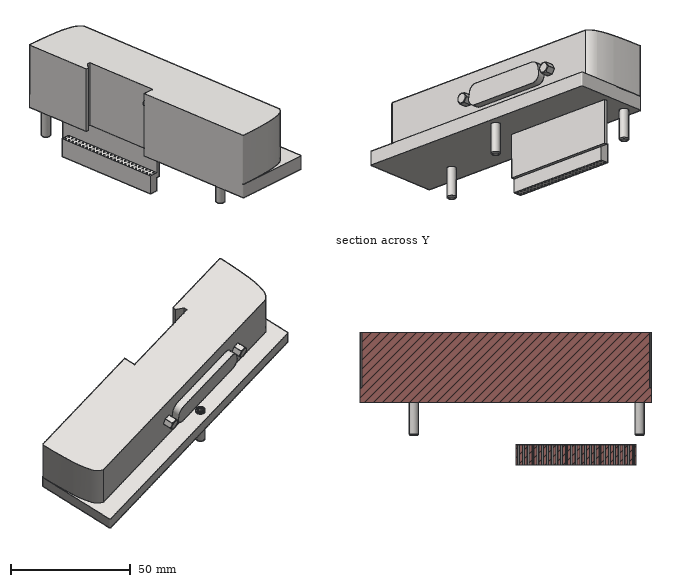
import cadquery as cq
import math

overall_height = 55.3

plate_length = 121.6
plate_width = 35.8
plate_height = 6.3
corner_radius = 0.5

housing_top = 29.3
housing_depth = 28.1
housing_end_gap = 0.1
end_arc_points = [(0.7, 15.9), (2.3, 24.2), (5.4, housing_depth)]

notch_left = 29.7
notch_right = 65.3
notch_depth = 5.2
lip_reach = 2.8
lip_tip_height = 1.5
lip_root_height = 3.8

latch_diameter = 2.4
latch_length = 2.2
latch_y = 2.9
latch_z = 23.1

plug_x = 49.2
plug_z = 17.1
shell_height = 9.6
shell_half_width_bottom = 20.8
shell_taper = math.radians(10)
shell_radius = 3.5
shell_back = 31.4
nut_spacing = 46.9
nut_across_flats = 4.5
nut_back = 32.1
nut_chamfer = 0.5

screw_diameter = 4.0
screw_tip = -13.6
screw_chamfer = 0.5
socket_across_flats = 2.0
socket_depth = 2.0
screw_positions = [(5.0, 5.1), (99.1, 10.2), (54.0, 31.1)]

board_left = 3.0
board_right = 56.5
board_front = 17.4
board_thickness = 1.5
board_bottom = -19.8
strip_left = 6.5
strip_thickness = 4.0
strip_top = -17.5
strip_bottom = housing_top - overall_height
contact_pitch = 2.0
contact_columns = 25
contact_rows = 2
contact_diameter = 0.6


def hex_across_corners(across_flats):
    return across_flats / math.cos(math.pi / 6)


def make_box(x_min, x_max, y_min, y_max, z_min, z_max):
    size = (x_max - x_min, y_max - y_min, z_max - z_min)
    return cq.Workplane("XY").box(*size, centered=False).translate((x_min, y_min, z_min))


def make_plate():
    plate = make_box(0, plate_length, 0, plate_width, 0, plate_height)
    return plate.edges("|Z").fillet(corner_radius)


def make_housing():
    middle = plate_length / 2
    outline = (
        cq.Workplane("XY")
        .moveTo(middle, 0)
        .lineTo(housing_end_gap + corner_radius, 0)
        .tangentArcPoint((housing_end_gap, corner_radius), relative=False)
    )
    for point in end_arc_points:
        outline = outline.tangentArcPoint(point, relative=False)
    half = outline.lineTo(middle, housing_depth).close().extrude(housing_top)
    return half.union(half.mirror("YZ", (middle, 0, 0)))


def make_notch():
    lip_tip = notch_left + lip_reach
    outline = [
        (lip_tip, 0),
        (lip_tip, lip_tip_height),
        (notch_left, lip_root_height),
        (notch_left, notch_depth),
        (notch_right, notch_depth),
        (notch_right, 0),
    ]
    return cq.Workplane("XY").polyline(outline).close().extrude(housing_top)


def make_latch_pin():
    pin = cq.Workplane("YZ").circle(latch_diameter / 2).extrude(-latch_length)
    return pin.translate((notch_right, latch_y, latch_z))


def make_plug_shell():
    half_width_top = shell_half_width_bottom - shell_height * math.tan(shell_taper)
    outline = [
        (-shell_half_width_bottom, -shell_height / 2),
        (shell_half_width_bottom, -shell_height / 2),
        (half_width_top, shell_height / 2),
        (-half_width_top, shell_height / 2),
    ]
    shell = cq.Workplane("XZ").polyline(outline).close().extrude(housing_depth - shell_back)
    shell = shell.edges("|Y").fillet(shell_radius)
    return shell.translate((plug_x, housing_depth, plug_z))


def make_jack_nut(x):
    across_corners = hex_across_corners(nut_across_flats)
    height = nut_back - housing_depth
    prism = cq.Workplane("XY").polygon(6, across_corners).extrude(height)
    turned = (
        cq.Workplane("XY")
        .circle(across_corners / 2)
        .extrude(height)
        .faces(">Z")
        .chamfer(nut_chamfer)
    )
    nut = prism.intersect(turned).rotate((0, 0, 0), (1, 0, 0), -90)
    return nut.translate((x, housing_depth, plug_z))


def make_screw():
    length = plate_height - screw_tip
    screw = cq.Workplane("XY").circle(screw_diameter / 2).extrude(length)
    screw = screw.faces("<Z or >Z").chamfer(screw_chamfer)
    return screw.translate((0, 0, screw_tip))


def make_screw_recess():
    socket = (
        cq.Workplane("XY", origin=(0, 0, plate_height))
        .polygon(6, hex_across_corners(socket_across_flats))
        .extrude(-socket_depth)
        .rotate((0, 0, 0), (0, 0, 1), 90)
    )
    bore = (
        cq.Workplane("XY", origin=(0, 0, plate_height))
        .circle(screw_diameter / 2)
        .extrude(-screw_chamfer)
    )
    return bore.cut(make_screw()).union(socket)


def make_board():
    board_back = board_front + board_thickness
    return make_box(board_left, board_right, board_front, board_back, board_bottom, 0)


def make_socket_strip():
    strip_front = board_front - strip_thickness
    strip = make_box(strip_left, board_right, strip_front, board_front, strip_bottom, strip_top)
    center = ((strip_left + board_right) / 2, (strip_front + board_front) / 2, strip_top)
    contacts = (
        cq.Workplane("XY", origin=center)
        .rarray(contact_pitch, contact_pitch, contact_columns, contact_rows)
        .circle(contact_diameter / 2)
        .extrude(strip_bottom - strip_top)
    )
    return strip.cut(contacts)


result = make_plate().union(make_housing()).cut(make_notch())
result = result.union(make_latch_pin()).union(make_plug_shell())
for side in (-1, 1):
    result = result.union(make_jack_nut(plug_x + side * nut_spacing / 2))
for x, y in screw_positions:
    result = result.union(make_screw().translate((x, y, 0)))

exposed_x, exposed_y = screw_positions[-1]
result = result.cut(make_screw_recess().translate((exposed_x, exposed_y, 0)))
result = result.union(make_board()).union(make_socket_strip())